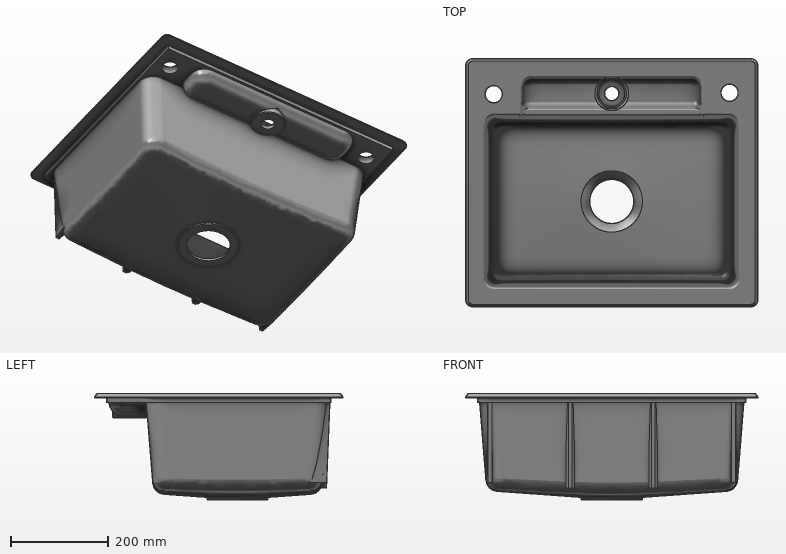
import cadquery as cq
import math

TOTAL_HEIGHT = 220.0
WALL = 12.0
LIP_FILLET = 5.0
BOSS_CHAMFER = 2.0
CLEARANCE = 0.05

RIM_X = 601.0
RIM_Y = 511.0
RIM_THICKNESS = 9.5
RIM_CORNER = 14.5
BEVEL_WIDTH = 5.5
BEVEL_HEIGHT = 7.0
PLATE_X = 553.0
PLATE_Y = 461.5
PLATE_BOTTOM = 18.5

BOWL_X = 547.0
BOWL_Y = 379.0
BOWL_CENTRE_Y = -38.5
BOWL_DRAFT = 4.6
BOWL_CORNER = 33.0
BOWL_FLOOR_FILLET = 26.0
FLOOR_SLOPE = 4.1
FLOOR_APEX_DEPTH = 219.0

DRAIN_HOLE = 90.0
DRAIN_BOSS = 126.0
DRAIN_SEAT_DEPTH = 12.0

TRAY_X = 371.5
TRAY_FRONT_Y = 151.5
TRAY_BACK_Y = 216.0
TRAY_DEPTH = 33.0
TRAY_DRAFT = 5.0
TRAY_CORNER = 21.0
TRAY_FRONT_CORNER = 12.0
TRAY_FLOOR_FILLET = 16.0
RIDGE_DEPTH = 10.0

SEAT_Y = 183.5
SEAT_TOP = 70.0
SEAT_STEP = 60.0
SEAT_STEP_DEPTH = 36.0
SEAT_BOTTOM = 53.5
SEAT_DEPTH = 42.0
SEAT_POCKET_DEPTH = 12.0
SEAT_BOSS_DEPTH = 51.0
SEAT_HOLE = 29.0

TAP_HOLE = 35.0
TAP_HOLES = [(-243.0, 182.0), (242.0, 185.0)]

RIBS = [(85.5, 195.0, 17.0, 6.0), (250.5, 184.0, 13.0, 30.0)]
RIB_TIP_WIDTH = 8.0
RIB_FRONT_Y = -229.5
RIB_BACK_Y = -195.5
RIB_DRAFT = 2.3


def slope_rise(angle, distance):
    """Offset gained over a distance by a face leaning at an angle in degrees."""
    return distance * math.tan(math.radians(angle))


def cylinder(diameter, x, y, top_depth, bottom_depth):
    """Vertical cylinder between two depths."""
    return (
        cq.Workplane("XY", origin=(x, y, -bottom_depth))
        .circle(diameter / 2)
        .extrude(bottom_depth - top_depth)
    )


def funnel(top_diameter, bottom_diameter, y, top_depth, bottom_depth):
    """Truncated cone on the centre plane between two depths."""
    return (
        cq.Workplane("XY", origin=(0, y, -bottom_depth))
        .circle(bottom_diameter / 2)
        .workplane(offset=bottom_depth - top_depth)
        .circle(top_diameter / 2)
        .loft()
    )


def boss(diameter, y, top_depth, bottom_depth):
    """Round boss on the centre plane with a chamfered bottom edge."""
    return cylinder(diameter, 0, y, top_depth, bottom_depth).faces("<Z").chamfer(BOSS_CHAMFER)


def plate(size_x, size_y, thickness):
    """Rectangular plate hanging from the rim top."""
    return cq.Workplane("XY").rect(size_x, size_y).extrude(-thickness)


def drafted_box(size_x, front, back, depth, draft):
    """Box hanging from the rim top whose sides lean inwards towards the bottom."""
    return (
        cq.Workplane("XY")
        .center(0, (front + back) / 2)
        .rect(size_x, back - front)
        .extrude(-depth, taper=draft)
    )


def rim():
    flange = plate(RIM_X, RIM_Y, RIM_THICKNESS).edges("|Z").fillet(RIM_CORNER)
    flange = flange.faces(">Z").chamfer(BEVEL_HEIGHT, BEVEL_WIDTH)
    return flange.union(plate(PLATE_X, PLATE_Y, PLATE_BOTTOM))


def bowl_shape(inset):
    """Bowl with a shallow conical floor, moved inwards by inset on every side."""
    apex_depth = FLOOR_APEX_DEPTH - inset
    half_y = BOWL_Y / 2 - inset
    box = drafted_box(
        BOWL_X - 2 * inset, BOWL_CENTRE_Y - half_y, BOWL_CENTRE_Y + half_y, apex_depth, BOWL_DRAFT
    )
    box = box.edges("not #Z").fillet(BOWL_CORNER - inset)
    reach = BOWL_X
    floor_edge_depth = apex_depth - slope_rise(FLOOR_SLOPE, reach)
    above_floor = (
        cq.Workplane("XZ", origin=(0, BOWL_CENTRE_Y, 0))
        .polyline([(0, -apex_depth), (reach, -floor_edge_depth), (reach, 0), (0, 0)])
        .close()
        .revolve(360, (0, 0, 0), (0, 1, 0))
    )
    return box.intersect(above_floor).faces("<Z").edges().fillet(BOWL_FLOOR_FILLET - inset)


def tray_shape(outset, front_corners_rounded):
    """Tray with rounded back corners and floor edges, moved outwards by outset."""
    tray = drafted_box(
        TRAY_X + 2 * outset,
        TRAY_FRONT_Y - outset,
        TRAY_BACK_Y + outset,
        TRAY_DEPTH + outset,
        TRAY_DRAFT,
    )
    corners = tray.edges("not #Z")
    if not front_corners_rounded:
        corners = corners.edges(">Y")
    tray = corners.fillet(TRAY_CORNER + outset)
    return tray.faces("<Z").edges().fillet(TRAY_FLOOR_FILLET + outset)


def ridge_notch():
    """Cut that lowers the ridge between tray and bowl, flush with the tray sides."""
    tray_middle_y = (TRAY_FRONT_Y + TRAY_BACK_Y) / 2
    return drafted_box(TRAY_X, BOWL_CENTRE_Y, tray_middle_y, RIDGE_DEPTH, TRAY_DRAFT)


def rib(x, depth, root_width, tip_length):
    """Rib with a narrowed tip, leaning back with the front wall."""
    half_root = root_width / 2
    half_tip = RIB_TIP_WIDTH / 2
    root_y = RIB_FRONT_Y + tip_length
    outline = cq.Wire.makePolygon(
        [
            cq.Vector(x - half_root, RIB_BACK_Y, 0),
            cq.Vector(x - half_root, root_y, 0),
            cq.Vector(x - half_tip, RIB_FRONT_Y, 0),
            cq.Vector(x + half_tip, RIB_FRONT_Y, 0),
            cq.Vector(x + half_root, root_y, 0),
            cq.Vector(x + half_root, RIB_BACK_Y, 0),
        ],
        close=True,
    )
    return cq.Solid.extrudeLinear(outline, [], cq.Vector(0, slope_rise(RIB_DRAFT, depth), -depth))


def round_lips(sink):
    """Round the edge of the opening in the rim top, then the tray side of the ridge."""
    half_x = PLATE_X / 2
    half_y = PLATE_Y / 2
    bowl_back_y = BOWL_CENTRE_Y + BOWL_Y / 2 - WALL
    opening = cq.selectors.BoxSelector(
        (-half_x, -half_y, -CLEARANCE), (half_x, half_y, CLEARANCE), boundingbox=True
    )
    ridge_bottom = -RIDGE_DEPTH - CLEARANCE
    bowl_side = cq.selectors.BoxSelector(
        (-half_x, bowl_back_y - LIP_FILLET, ridge_bottom),
        (half_x, bowl_back_y + CLEARANCE, CLEARANCE),
        boundingbox=True,
    )
    sink = sink.edges(opening + bowl_side).fillet(LIP_FILLET)
    tray_side = cq.selectors.BoxSelector(
        (-half_x, bowl_back_y + LIP_FILLET, ridge_bottom),
        (half_x, TRAY_FRONT_Y + LIP_FILLET, -RIDGE_DEPTH + CLEARANCE),
        boundingbox=True,
    )
    return sink.edges(tray_side).edges("|X").edges(">Y").fillet(LIP_FILLET)


def round_tray_front(sink):
    """Round the two corners below the ridge where the tray front meets the tray sides."""
    corners = [
        cq.selectors.NearestToPointSelector((side * TRAY_X / 2, TRAY_FRONT_Y, -TRAY_DEPTH / 2))
        for side in (-1, 1)
    ]
    return sink.edges(corners[0] + corners[1]).fillet(TRAY_FRONT_CORNER)


body = rim().union(bowl_shape(0)).union(tray_shape(WALL, True))
for rib_x, rib_depth, rib_root, rib_tip_length in RIBS:
    for side in (-1, 1):
        body = body.union(rib(side * rib_x, rib_depth, rib_root, rib_tip_length))
drain_seat_top = FLOOR_APEX_DEPTH - WALL - slope_rise(FLOOR_SLOPE, DRAIN_BOSS / 2)
body = body.union(boss(DRAIN_BOSS, BOWL_CENTRE_Y, drain_seat_top, TOTAL_HEIGHT))
body = body.union(boss(SEAT_TOP, SEAT_Y, TRAY_DEPTH, SEAT_BOSS_DEPTH))

body = body.cut(bowl_shape(WALL)).cut(tray_shape(0, False)).cut(ridge_notch())
body = round_tray_front(round_lips(body))

drain_seat_bottom = drain_seat_top + DRAIN_SEAT_DEPTH
body = body.cut(funnel(DRAIN_BOSS, DRAIN_HOLE, BOWL_CENTRE_Y, drain_seat_top, drain_seat_bottom))
body = body.cut(cylinder(DRAIN_HOLE, 0, BOWL_CENTRE_Y, drain_seat_top, TOTAL_HEIGHT))

body = body.cut(cylinder(SEAT_TOP, 0, SEAT_Y, SEAT_POCKET_DEPTH, TRAY_DEPTH))
body = body.cut(funnel(SEAT_TOP, SEAT_STEP, SEAT_Y, TRAY_DEPTH, SEAT_STEP_DEPTH))
body = body.cut(funnel(SEAT_STEP, SEAT_BOTTOM, SEAT_Y, SEAT_STEP_DEPTH, SEAT_DEPTH))
body = body.cut(cylinder(SEAT_HOLE, 0, SEAT_Y, TRAY_DEPTH, SEAT_BOSS_DEPTH))

for tap_x, tap_y in TAP_HOLES:
    body = body.cut(cylinder(TAP_HOLE, tap_x, tap_y, 0, PLATE_BOTTOM))

result = body